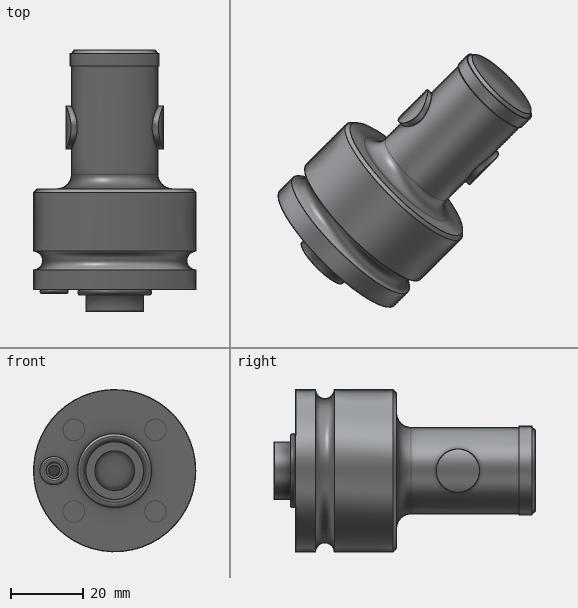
import cadquery as cq
import math


body_radius = 22.5
body_length = 28.0
body_chamfer = 1.0
groove_center = 8.1
groove_half_width = 2.6
groove_depth = 2.5

shank_radius = 12.0
shank_fillet = 4.0
collar_radius = 12.35
collar_length = 3.5
shank_end = 66.5
nose_length = 1.0
nose_inset = 0.75

lug_radius = 6.0
lug_reach = 13.5
lug_center = 45.0

spigot_radius = 8.0
spigot_length = 6.0
bore_radius = 5.5
bore_depth = 5.0

seal_outer_radius = 10.25
seal_height = 1.5

port_offset = 16.8
port_seal_outer_radius = 3.9
port_seal_inner_radius = 2.2
port_seal_height = 1.0
port_radius = 1.5
port_depth = 5.0

plug_circle_radius = 16.0
plug_radius = 3.0
plug_depth = 5.0
plug_count = 4


def rod(x, z, radius, y_start, y_end):
    """Cylinder parallel to Y through (x, z)."""
    length = y_end - y_start
    return cq.Workplane(cq.Solid.makeCylinder(radius, length, cq.Vector(x, y_start, z), cq.Vector(0, 1, 0)))


def turned_body():
    """Flange body, shank, collar and nose as one revolved outline."""
    groove_start = groove_center - groove_half_width
    groove_end = groove_center + groove_half_width
    fillet_foot = shank_radius + shank_fillet
    fillet_top = body_length + shank_fillet
    collar_end = shank_end - nose_length
    arc_drop = shank_fillet * math.sqrt(0.5)
    outline = (
        cq.Workplane("XY")
        .lineTo(body_radius, 0)
        .lineTo(body_radius, groove_start)
        .threePointArc((body_radius - groove_depth, groove_center), (body_radius, groove_end))
        .lineTo(body_radius, body_length - body_chamfer)
        .lineTo(body_radius - body_chamfer, body_length)
        .lineTo(fillet_foot, body_length)
        .threePointArc((fillet_foot - arc_drop, fillet_top - arc_drop), (shank_radius, fillet_top))
        .lineTo(shank_radius, collar_end - collar_length)
        .lineTo(collar_radius, collar_end - collar_length)
        .lineTo(collar_radius, collar_end)
        .lineTo(shank_radius, collar_end)
        .lineTo(shank_radius - nose_inset, shank_end)
        .lineTo(0, shank_end)
        .close()
    )
    return outline.revolve(360, (0, 0, 0), (0, 1, 0))


def lugs():
    """Round lugs along X whose ends follow a cylinder about the shank axis."""
    cross_pin = (
        cq.Workplane("YZ")
        .center(lug_center, 0)
        .circle(lug_radius)
        .extrude(lug_reach, both=True)
    )
    envelope = rod(0, 0, lug_reach, lug_center - lug_radius, lug_center + lug_radius)
    return cross_pin.intersect(envelope)


def rounded_seal(outer_radius, inner_radius, height):
    """Flat-faced ring on the flange face with half-round inner and outer sides, centred on the Y axis."""
    rounding = height / 2
    section = (
        cq.Workplane("XY")
        .moveTo(inner_radius + rounding, 0)
        .lineTo(outer_radius - rounding, 0)
        .threePointArc((outer_radius, -rounding), (outer_radius - rounding, -height))
        .lineTo(inner_radius + rounding, -height)
        .threePointArc((inner_radius, -rounding), (inner_radius + rounding, 0))
        .close()
    )
    return section.revolve(360, (0, 0, 0), (0, 1, 0))


def spigot_seal():
    """Large seal, filled solid against the spigot below its widest point."""
    ring = rounded_seal(seal_outer_radius, spigot_radius, seal_height)
    core_radius = (seal_outer_radius + spigot_radius) / 2
    return ring.union(rod(0, 0, core_radius, -seal_height / 2, 0))


def port_seal():
    """Small seal around the coolant port."""
    ring = rounded_seal(port_seal_outer_radius, port_seal_inner_radius, port_seal_height)
    return ring.translate((-port_offset, 0, 0))


def add_flush_plugs(part):
    """Plugs that fill their holes level with the flange face, leaving their round outlines on it."""
    for index in range(plug_count):
        angle = 2 * math.pi * (index + 0.5) / plug_count
        x = plug_circle_radius * math.cos(angle)
        z = plug_circle_radius * math.sin(angle)
        plug = rod(x, z, plug_radius, 0, plug_depth)
        part = part.cut(plug, clean=False).union(plug, clean=False)
    return part


result = turned_body().union(lugs())
result = result.union(rod(0, 0, spigot_radius, -spigot_length, 0))
result = result.union(spigot_seal())
result = result.union(port_seal())
result = result.cut(rod(0, 0, bore_radius, -spigot_length, bore_depth - spigot_length))
result = result.cut(rod(-port_offset, 0, port_radius, 0, port_depth))
result = add_flush_plugs(result)